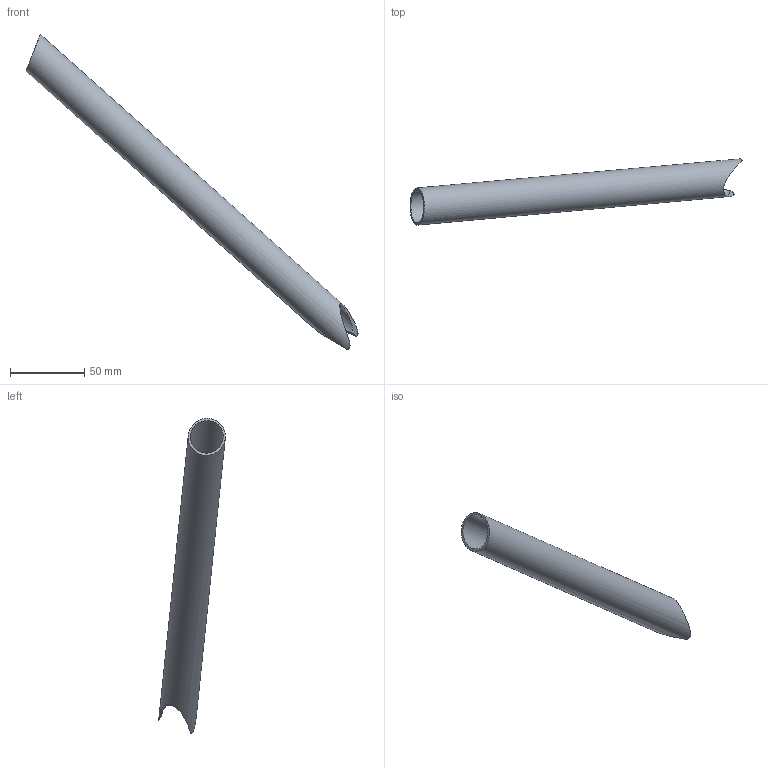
import cadquery as cq

OUTER_DIAMETER = 25.0
WALL = 1.5
OUTER_RADIUS = OUTER_DIAMETER / 2
INNER_RADIUS = OUTER_RADIUS - WALL

UPPER_CENTRE = cq.Vector(-106.90, -9.98, 94.02)
LOWER_JOINT = cq.Vector(112.03, 10.38, -101.30)
CENTRELINE = LOWER_JOINT - UPPER_CENTRE
TUBE_DIRECTION = CENTRELINE.normalized()

MITRE_NORMAL = cq.Vector(-1.0, 0.0, 0.388)
MITRE_OVERRUN = 40.0

COPE_CLEARANCE = 0.4
COPE_RADIUS = OUTER_RADIUS + COPE_CLEARANCE
STEEP_TUBE_DIRECTION = cq.Vector(0.0, -0.344, 0.939)
SHALLOW_TUBE_DIRECTION = cq.Vector(0.959, -0.164, -0.233)
SHALLOW_TUBE_DISTANCE = 10.74
CROSSING_HALF_LENGTH = 100.0


def cylinder(radius, start, direction, length):
    return cq.Workplane(cq.Solid.makeCylinder(radius, length, start, direction))


def raw_tube():
    """Straight tube, overlong at the mitre and square at the lower joint."""
    start = UPPER_CENTRE - TUBE_DIRECTION * MITRE_OVERRUN
    length = CENTRELINE.Length + MITRE_OVERRUN
    outside = cylinder(OUTER_RADIUS, start, TUBE_DIRECTION, length)
    bore = cylinder(INNER_RADIUS, start, TUBE_DIRECTION, length)
    return outside.cut(bore)


def mitre_cutter():
    """Block lying outside the mitre face."""
    side = 4 * OUTER_DIAMETER
    plane = cq.Plane(origin=UPPER_CENTRE, normal=MITRE_NORMAL)
    return cq.Workplane(plane).rect(side, side).extrude(side)


def cope_cutter(distance, direction):
    """Envelope of a crossing tube, at a distance past the lower joint."""
    crossing = LOWER_JOINT + TUBE_DIRECTION * distance
    axis = direction.normalized()
    start = crossing - axis * CROSSING_HALF_LENGTH
    return cylinder(COPE_RADIUS, start, axis, 2 * CROSSING_HALF_LENGTH)


result = (
    raw_tube()
    .cut(mitre_cutter())
    .cut(cope_cutter(0, STEEP_TUBE_DIRECTION))
    .cut(cope_cutter(SHALLOW_TUBE_DISTANCE, SHALLOW_TUBE_DIRECTION))
)